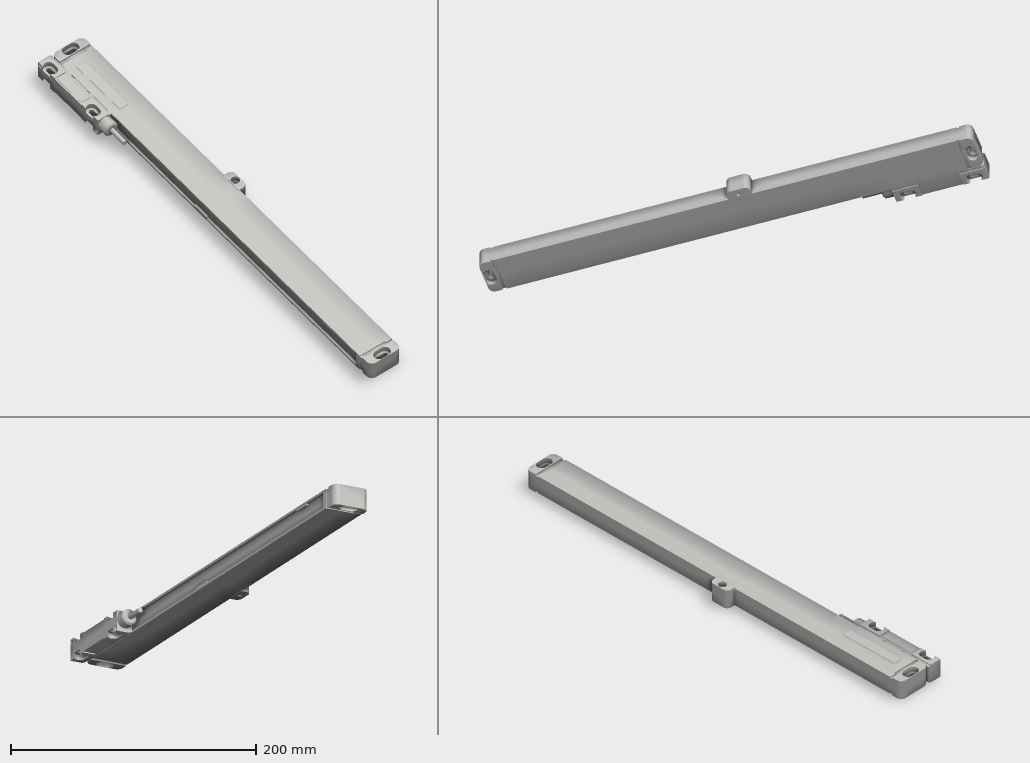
import cadquery as cq

length = 425.0
rail_height = 17.0
pad_step = 0.5
full_height = rail_height + 2 * pad_step
slot_hole_width = 4.5
slot_seat_width = 9.5
seat_depth = 4.5

rail_front = 13.5
rail_back = 46.0
rail_mid_y = (rail_front + rail_back) / 2
cap_length = 10.5
cap_front = rail_front + 0.5
cap_corner_radius = 5.0
cap_slot_inset = 5.0
cap_slot_straight = 6.5
rail_inset = 12.8
neck_height = 15.0
end_step = 1.3
end_step_back = 39.5

channel_inset = 19.0
channel_height = 13.0
channel_depth = 2.0
tab_length = 16.5
tab_height = 3.5
lower_tab_x = 190.5
upper_tab_x = 361.0

lug_x = 189.0
lug_length = 20.5
lug_back = 54.0
lug_overlap = 1.3
lug_corner_radius = 4.5
lug_hole_diameter = 4.0
lug_seat_diameter = 7.5
lug_hole_y = 49.5

rail_label_x = 23.0
rail_label_y = 21.5
rail_label_length = 58.0
rail_label_width = 9.0
rail_label_thickness = 0.5

head_length = 80.0
head_depth = 11.5
pad_length = 22.0
mid_height = 16.0
head_slot_inset = 11.5
head_slot_y = 4.05
head_slot_straight = 4.5
notch_length = 4.2
notch_inset = 27.5
notch_depth = 1.0
head_label_x = 23.5
head_label_length = 32.0
head_label_front = 1.3
head_label_back = 10.0
head_label_thickness = 0.5
corner_hole_diameter = 4.2
corner_hole_depth = 1.5
corner_hole_inset_x = 2.5
corner_hole_inset_z = 3.0

plug_diameter = 13.5
plug_length = 9.8
plug_chamfer = 1.3
cable_y = plug_diameter / 2
cable_z = 1.3
cable_diameter = 4.2
cable_end = 107.0


def block(x0, x1, y0, y1, z0, z1):
    return cq.Workplane("XY").box(x1 - x0, y1 - y0, z1 - z0, centered=False).translate((x0, y0, z0))


def bar(x0, x1, y0, y1, height):
    """Block centred on mid-height."""
    return block(x0, x1, y0, y1, -height / 2, height / 2)


def seated_slot(x, y, straight, angle):
    """Through slot with a wider slot-shaped seat sunk from both the top and the bottom."""

    def slot(width, z0, depth):
        sketch = cq.Workplane("XY", origin=(x, y, z0))
        return sketch.slot2D(straight + width, width, angle).extrude(depth)

    top = full_height / 2
    cutter = slot(slot_hole_width, -top, full_height)
    cutter = cutter.union(slot(slot_seat_width, top - seat_depth, seat_depth))
    return cutter.union(slot(slot_seat_width, -top, seat_depth))


def make_left_cap():
    cap = bar(0, cap_length, cap_front, rail_back, full_height)
    cap = cap.edges("|Z and <X").fillet(cap_corner_radius)
    cap = cap.cut(seated_slot(cap_slot_inset, rail_mid_y, cap_slot_straight, 90))
    neck_end = rail_inset + end_step
    neck = bar(cap_length, neck_end, cap_front, rail_back, neck_height)
    return cap.union(neck)


def make_rail():
    rail = bar(rail_inset, length - rail_inset, rail_front, rail_back, rail_height)
    for x in (rail_inset, length - rail_inset - end_step):
        rail = rail.cut(bar(x, x + end_step, rail_front, end_step_back, rail_height))

    channel_back = rail_front + channel_depth
    channel = bar(channel_inset, length - channel_inset, rail_front, channel_back, channel_height)
    edge = rail_height / 2
    for x, z in ((lower_tab_x, -edge), (upper_tab_x, edge - tab_height)):
        channel = channel.cut(block(x, x + tab_length, rail_front, channel_back, z, z + tab_height))
    return rail.cut(channel)


def make_lug():
    lug = bar(lug_x, lug_x + lug_length, rail_back - lug_overlap, lug_back, full_height)
    lug = lug.edges("|Z and >Y").fillet(lug_corner_radius)
    middle = lug_x + lug_length / 2
    top = full_height / 2
    hole = cq.Workplane("XY", origin=(middle, lug_hole_y, -top)).circle(lug_hole_diameter / 2)
    seat = cq.Workplane("XY", origin=(middle, lug_hole_y, top - seat_depth)).circle(lug_seat_diameter / 2)
    return lug.cut(hole.extrude(full_height)).cut(seat.extrude(seat_depth))


def make_scale():
    left_cap = make_left_cap()
    right_cap = left_cap.mirror("YZ", (length / 2, 0, 0))
    top = rail_height / 2
    label = block(
        rail_label_x,
        rail_label_x + rail_label_length,
        rail_label_y,
        rail_label_y + rail_label_width,
        top,
        top + rail_label_thickness,
    )
    return make_rail().union(left_cap).union(right_cap).union(make_lug()).union(label)


def make_head_body():
    body = bar(0, head_length, 0, head_depth, mid_height)
    for x in (0, head_length - pad_length):
        body = body.union(bar(x, x + pad_length, 0, head_depth, full_height))
    neck = bar(0, head_length, head_depth, rail_front, mid_height)
    top = mid_height / 2
    for x in (notch_inset, head_length - notch_inset - notch_length):
        neck = neck.cut(block(x, x + notch_length, rail_front - notch_depth, rail_front, top - notch_depth, top))
    body = body.union(neck)
    label = block(
        head_label_x,
        head_label_x + head_label_length,
        head_label_front,
        head_label_back,
        top,
        top + head_label_thickness,
    )
    return body.union(label)


def make_corner_holes():
    """Blind holes in the front face, at its upper left and lower right corners."""
    z = full_height / 2 - corner_hole_inset_z
    front = cq.Workplane("XZ").pushPoints([(corner_hole_inset_x, z), (head_length - corner_hole_inset_x, -z)])
    return front.circle(corner_hole_diameter / 2).extrude(-corner_hole_depth)


def make_cable():
    """Plug with a chamfered rim, and the cable leaving it."""
    start = cq.Workplane("YZ", origin=(head_length, cable_y, cable_z))
    plug = start.circle(plug_diameter / 2).extrude(plug_length).faces(">X").chamfer(plug_chamfer)
    return plug.union(start.circle(cable_diameter / 2).extrude(cable_end - head_length))


def make_head():
    head = make_head_body()
    for x in (head_slot_inset, head_length - head_slot_inset):
        head = head.cut(seated_slot(x, head_slot_y, head_slot_straight, 0))
    return head.cut(make_corner_holes()).union(make_cable())


scale = make_scale()
head = make_head()

result = cq.Compound.makeCompound([scale.solids().val(), head.solids().val()])